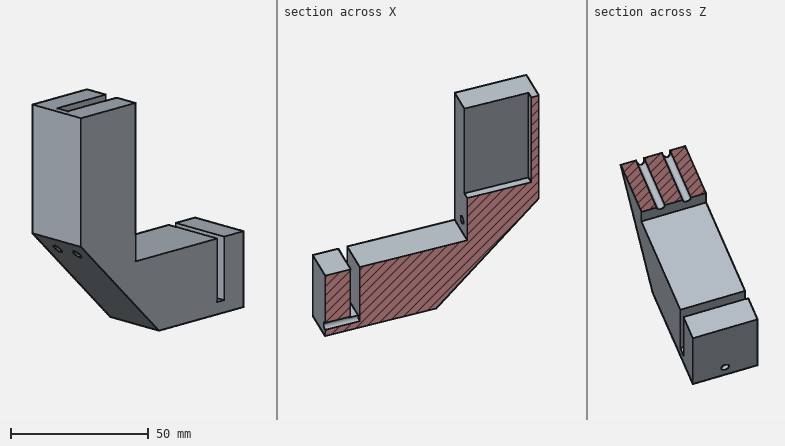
import cadquery as cq

width = 25.0
length = 83.4
height = 88.7
column_depth = 28.0
arm_height = 28.75
corner_chamfer = 40.0

end_lip = 10.0
arm_slot_width = 3.5
arm_slot_floor = 4.7

column_slot_width = 5.5
column_slot_reach = 25.0
column_slot_depth = 40.0

hole_diameter = 3.0
column_hole_spacing = 10.0
column_hole_height = 34.5

front = -length / 2
back = length / 2
column_back = front + column_depth


def box_between(x_size, y_min, y_max, z_min, z_max):
    """Box centred on X = 0 with the given Y and Z limits."""
    return (
        cq.Workplane("XY")
        .box(x_size, y_max - y_min, z_max - z_min, centered=(True, False, False))
        .translate((0, y_min, z_min))
    )


def hole_along_y(x, z, y_min, y_max):
    """Cylinder parallel to Y, for cutting a round hole."""
    axis_start = cq.Vector(x, y_min, z)
    return cq.Workplane(
        cq.Solid.makeCylinder(hole_diameter / 2, y_max - y_min, axis_start, cq.Vector(0, 1, 0))
    )


body = (
    cq.Workplane("YZ")
    .moveTo(front + corner_chamfer, 0)
    .lineTo(back, 0)
    .lineTo(back, arm_height)
    .lineTo(column_back, arm_height)
    .lineTo(column_back, height)
    .lineTo(front, height)
    .lineTo(front, corner_chamfer)
    .close()
    .extrude(width / 2, both=True)
)

arm_slot_back = back - end_lip
arm_slot_front = arm_slot_back - arm_slot_width
arm_slot = box_between(width, arm_slot_front, arm_slot_back, arm_slot_floor, arm_height)
column_slot = box_between(
    column_slot_width, column_back - column_slot_reach, column_back, height - column_slot_depth, height
)
result = body.cut(arm_slot).cut(column_slot)

for side in (-1, 1):
    result = result.cut(
        hole_along_y(side * column_hole_spacing / 2, column_hole_height, front, column_back)
    )

result = result.cut(hole_along_y(0, arm_slot_floor, arm_slot_front, back))